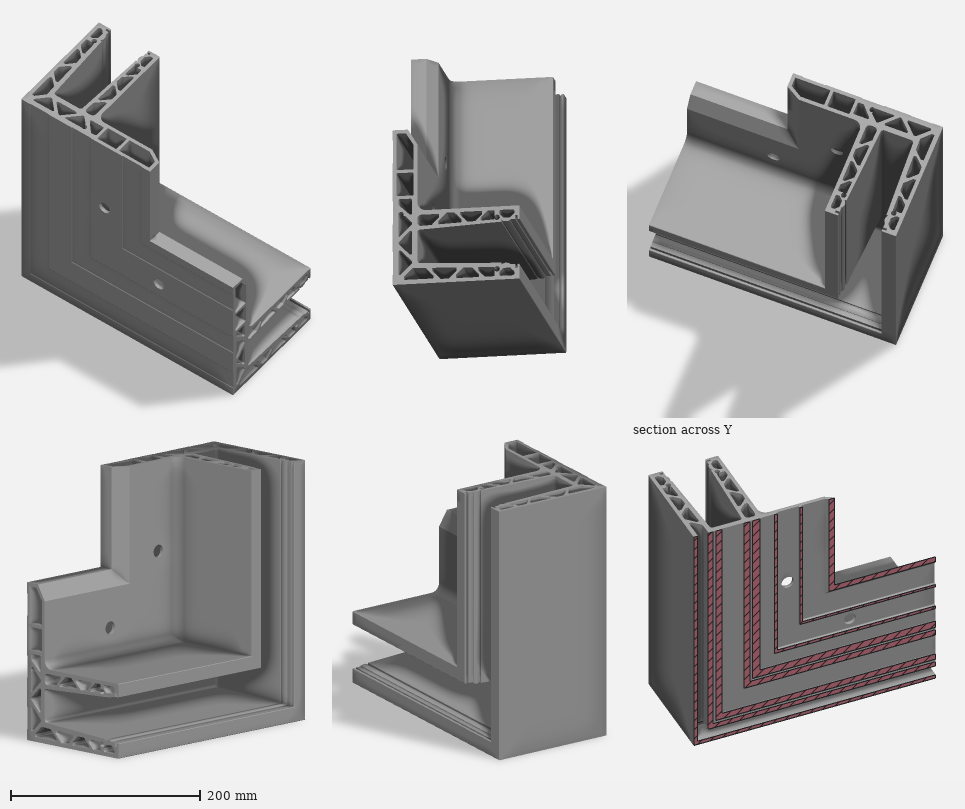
import cadquery as cq


ARM_REACH = 110.0
PROFILE_WIDTH = 170.17
PROFILE_DEPTH = 136.0
ARM_LENGTH = PROFILE_WIDTH + ARM_REACH

CHANNEL_BODY_WIDTH = 80.6
FLANGE_TOP = 26.4
FLANGE_FILLET = 9.6
RIM_CHAMFER = 0.5
LIP_HEIGHT = 16.4
LIP_SLOPE_START = 153.4
SKIN = 4.0

CHANNEL_CENTER = 41.0
CHANNEL_MOUTH_HALF = 24.7
CHANNEL_TOP_HALF = 22.6
CHANNEL_FLOOR_HALF = 18.2
TAPER_TOP = 116.5
CHANNEL_FLOOR_FILLET = 3.2
GASKET_SLOT_HALF = 29.1
GASKET_SLOT_BOTTOM = 131.3
GASKET_SLOT_TOP = 133.7
BEAD_TOP = 125.6
BEAD_BOTTOM = 117.4
BEAD_LEDGE = 0.8
BEAD_HEIGHT = 1.9

BODY_CENTER = CHANNEL_BODY_WIDTH / 2
SIDE_CELL_OUTER_HALF = BODY_CENTER - SKIN
LOWEST_CELL_OUTER_HALF = SIDE_CELL_OUTER_HALF - 0.9
SIDE_CELL_TOP = 109.2
WEB_TOP_HALF = 26.5
WEB_FLOOR_HALF = 23.0
CELL_LAND = 3.3
SIDE_CELL_FILLET = 0.9
TOP_CELL_FILLET = 1.9
CORNER_CELL_FILLET = 4.2
SCREW_PORT_RADIUS = 2.9
SIDE_PORT_HALF = 28.4
SIDE_PORT_Y = 111.9

TRUSS_FILLET = 1.5
TRUSS_BOTTOM = 6.3
TRUSS_TOP = 20.6
BOX_FILLET = 1.2
BOX_TOP = 22.4
FLANGE_PORT_CENTER = (77.0, 8.8)
FIRST_TRIANGLE = (8.5, 39.5)
INVERTED_TRIANGLE = (30.3, 60.7)
PORT_TRIANGLE_LEFT = 51.5
PORT_TRIANGLE_RIGHT = 75.5
PORT_TRIANGLE_APEX_WIDTH = 2.0
PORT_TRIANGLE_FILLET = 0.75
HALF_TRIANGLE_TOP = (74.6, 94.0)
HALF_TRIANGLE_BOTTOM_WIDTH = 6.5

RECESS_WIDTH = 25.6
RECESS_DEPTH = 0.5
RECESS_SIDE_RUN = 0.9
RECESS_STARTS = (11.0, 66.4, 133.4)
HOLE_DIAMETER = 14.0
HOLE_FROM_EDGE = 110.0
HOLE_ALONG_ARM = 182.0


def prism(points):
    """Polygon in the profile plane, extruded over the whole arm."""
    return cq.Workplane("XY").polyline(points).close().extrude(ARM_LENGTH)


def cell_prism(points, fillet):
    return prism(points).edges("|Z").fillet(fillet)


def port(center):
    return cq.Workplane("XY").center(*center).circle(SCREW_PORT_RADIUS).extrude(ARM_LENGTH)


def outer_body():
    """Solid outline: tall channel body with a flange that ends in a sloped lip."""
    body = prism([
        (0, 0),
        (PROFILE_WIDTH, 0),
        (PROFILE_WIDTH, LIP_HEIGHT),
        (LIP_SLOPE_START, FLANGE_TOP),
        (CHANNEL_BODY_WIDTH, FLANGE_TOP),
        (CHANNEL_BODY_WIDTH, PROFILE_DEPTH),
        (0, PROFILE_DEPTH),
    ])
    inner_corner = cq.selectors.NearestToPointSelector((CHANNEL_BODY_WIDTH, FLANGE_TOP, ARM_LENGTH / 2))
    return body.edges(inner_corner).fillet(FLANGE_FILLET)


def channel():
    """Tapered channel with a gasket slot and a rounded bead on each side of its mouth."""
    c = CHANNEL_CENTER
    bead_middle = (BEAD_TOP + BEAD_BOTTOM) / 2
    ledge_half = CHANNEL_MOUTH_HALF - BEAD_LEDGE
    bead_half = CHANNEL_MOUTH_HALF - BEAD_HEIGHT
    mouth = (
        cq.Workplane("XY")
        .moveTo(c - CHANNEL_MOUTH_HALF, PROFILE_DEPTH)
        .lineTo(c - CHANNEL_MOUTH_HALF, BEAD_TOP)
        .lineTo(c - ledge_half, BEAD_TOP)
        .threePointArc((c - bead_half, bead_middle), (c - ledge_half, BEAD_BOTTOM))
        .lineTo(c - CHANNEL_MOUTH_HALF, BEAD_BOTTOM)
        .lineTo(c - CHANNEL_MOUTH_HALF, TAPER_TOP)
        .lineTo(c + CHANNEL_MOUTH_HALF, TAPER_TOP)
        .lineTo(c + CHANNEL_MOUTH_HALF, BEAD_BOTTOM)
        .lineTo(c + ledge_half, BEAD_BOTTOM)
        .threePointArc((c + bead_half, bead_middle), (c + ledge_half, BEAD_TOP))
        .lineTo(c + CHANNEL_MOUTH_HALF, BEAD_TOP)
        .lineTo(c + CHANNEL_MOUTH_HALF, PROFILE_DEPTH)
        .close()
        .extrude(ARM_LENGTH)
    )
    tapered = prism([
        (c - CHANNEL_TOP_HALF, TAPER_TOP),
        (c - CHANNEL_FLOOR_HALF, FLANGE_TOP),
        (c + CHANNEL_FLOOR_HALF, FLANGE_TOP),
        (c + CHANNEL_TOP_HALF, TAPER_TOP),
    ])
    tapered = tapered.faces("<Y").edges("|Z").fillet(CHANNEL_FLOOR_FILLET)
    slot = prism([
        (c - GASKET_SLOT_HALF, GASKET_SLOT_BOTTOM),
        (c + GASKET_SLOT_HALF, GASKET_SLOT_BOTTOM),
        (c + GASKET_SLOT_HALF, GASKET_SLOT_TOP),
        (c - GASKET_SLOT_HALF, GASKET_SLOT_TOP),
    ])
    return mouth.union(tapered).union(slot)


def web_half(y):
    """Half width, at height y, of the tapered web between the side cells and the channel."""
    slope = (WEB_TOP_HALF - WEB_FLOOR_HALF) / (TAPER_TOP - FLANGE_TOP)
    return WEB_FLOOR_HALF + slope * (y - FLANGE_TOP)


def mirrored_points(side, half_points):
    """Points given by half width, placed on one side of the body centre (-1 or +1)."""
    return [(BODY_CENTER + side * half, y) for half, y in half_points]


def flank_height(y, outer_half):
    """Height of a 45 degree flank that crosses the cell from the flat land at its end."""
    return outer_half - web_half(y) - CELL_LAND


def long_outside_cell(side, low, high, outer_half=SIDE_CELL_OUTER_HALF):
    """Side cell with its long wall at the body's skin and a 45 degree flank at both ends."""
    low_corner = low + flank_height(low, outer_half)
    high_corner = high - flank_height(high, outer_half)
    half_points = [
        (outer_half, low),
        (outer_half, high),
        (outer_half - CELL_LAND, high),
        (web_half(high_corner), high_corner),
        (web_half(low_corner), low_corner),
        (outer_half - CELL_LAND, low),
    ]
    return cell_prism(mirrored_points(side, half_points), SIDE_CELL_FILLET)


def long_inside_cell(side, low, high):
    """Side cell with its long wall at the channel and a 45 degree flank at both ends."""
    half_points = [
        (web_half(low), low),
        (web_half(high), high),
        (web_half(high) + CELL_LAND, high),
        (SIDE_CELL_OUTER_HALF, high - flank_height(high, SIDE_CELL_OUTER_HALF)),
        (SIDE_CELL_OUTER_HALF, low + flank_height(low, SIDE_CELL_OUTER_HALF)),
        (web_half(low) + CELL_LAND, low),
    ]
    return cell_prism(mirrored_points(side, half_points), SIDE_CELL_FILLET)


def port_cell(side, low):
    """Side cell below the screw port: square at the top, flanked at the bottom."""
    half_points = [
        (web_half(low), low),
        (web_half(SIDE_CELL_TOP), SIDE_CELL_TOP),
        (SIDE_CELL_OUTER_HALF, SIDE_CELL_TOP),
        (SIDE_CELL_OUTER_HALF, low + flank_height(low, SIDE_CELL_OUTER_HALF)),
        (web_half(low) + CELL_LAND, low),
    ]
    return cell_prism(mirrored_points(side, half_points), SIDE_CELL_FILLET)


def top_cell(side):
    """Cell beside the gasket slot, narrowed to stay clear of the mouth."""
    top = 130.4
    bottom = 114.2
    neck_half = 27.7
    shoulder_half = 32.0
    half_points = [
        (SIDE_CELL_OUTER_HALF, bottom),
        (SIDE_CELL_OUTER_HALF, top),
        (shoulder_half, top),
        (neck_half, top - (shoulder_half - neck_half)),
        (neck_half, bottom + (shoulder_half - neck_half)),
        (shoulder_half, bottom),
    ]
    return cell_prism(mirrored_points(side, half_points), TOP_CELL_FILLET)


def corner_cell():
    """Lowest cell of the flange-side wall: flanked at the top, well rounded at the bottom."""
    top = 49.9
    outer_half = LOWEST_CELL_OUTER_HALF
    flank_end = top - flank_height(top, outer_half)
    half_points = [
        (outer_half, FLANGE_TOP),
        (outer_half, top),
        (outer_half - CELL_LAND, top),
        (web_half(flank_end), flank_end),
        (web_half(FLANGE_TOP), FLANGE_TOP),
    ]
    cell = prism(mirrored_points(1, half_points))
    return cell.edges("|Z and <Y").fillet(CORNER_CELL_FILLET)


def side_cells():
    """Cells and screw ports of both channel walls, separated by 45 degree ribs."""
    cells = []
    for side in (-1, 1):
        cells.append(top_cell(side))
        cells.append(port((BODY_CENTER + side * SIDE_PORT_HALF, SIDE_PORT_Y)))
    cells += [
        port_cell(-1, low=91.3),
        long_outside_cell(-1, low=67.6, high=92.4),
        long_inside_cell(-1, low=42.2, high=68.5),
        long_outside_cell(-1, low=12.0, high=43.7, outer_half=LOWEST_CELL_OUTER_HALF),
        port_cell(1, low=94.4),
        long_outside_cell(1, low=72.2, high=96.0),
        long_inside_cell(1, low=48.7, high=74.0),
        corner_cell(),
    ]
    return cells


def triangle_cell(left, right, base, tip):
    """Truss cell with 45 degree sides rising (or falling) from the base to a flat tip."""
    run = abs(tip - base)
    return cell_prism([(left, base), (right, base), (right - run, tip), (left + run, tip)], TRUSS_FILLET)


def port_triangle_cell():
    """Truss cell cut short on the right, where it opens into the flange screw port."""
    left = PORT_TRIANGLE_LEFT
    right = PORT_TRIANGLE_RIGHT
    apex_left = left + TRUSS_TOP - TRUSS_BOTTOM
    apex_right = apex_left + PORT_TRIANGLE_APEX_WIDTH
    points = [
        (left, TRUSS_BOTTOM),
        (right, TRUSS_BOTTOM),
        (right, TRUSS_TOP - (right - apex_right)),
        (apex_right, TRUSS_TOP),
        (apex_left, TRUSS_TOP),
    ]
    return prism(points).edges("|Z and (not >X)").fillet(PORT_TRIANGLE_FILLET)


def box_cell(points):
    """Cell near the lip with a sharp floor and a rounded top."""
    return prism(points).edges("|Z and >Y").fillet(BOX_FILLET)


def flange_cells():
    """Triangular truss cells under the channel, then two box cells out to the lip."""
    half_left, half_right = HALF_TRIANGLE_TOP
    half_points = [
        (half_left, TRUSS_TOP),
        (half_right, TRUSS_TOP),
        (half_right, TRUSS_BOTTOM),
        (half_right - HALF_TRIANGLE_BOTTOM_WIDTH, TRUSS_BOTTOM),
    ]
    first_left, first_right = 97.5, 122.7
    last_left, last_right = 126.2, PROFILE_WIDTH - SKIN
    slope_top, slope_bottom = 153.0, 14.1
    first_box = [(first_left, SKIN), (first_right, SKIN), (first_right, BOX_TOP), (first_left, BOX_TOP)]
    last_box = [
        (last_left, SKIN),
        (last_right, SKIN),
        (last_right, slope_bottom),
        (slope_top, BOX_TOP),
        (last_left, BOX_TOP),
    ]
    return [
        triangle_cell(*FIRST_TRIANGLE, TRUSS_BOTTOM, TRUSS_TOP),
        triangle_cell(*INVERTED_TRIANGLE, TRUSS_TOP, TRUSS_BOTTOM),
        port_triangle_cell(),
        port(FLANGE_PORT_CENTER),
        cell_prism(half_points, TRUSS_FILLET),
        box_cell(first_box),
        box_cell(last_box),
    ]


def face_recess(start):
    """Shallow groove in the front face with sloped sides."""
    end = start + RECESS_WIDTH
    return prism([
        (start, 0),
        (end, 0),
        (end - RECESS_SIDE_RUN, RECESS_DEPTH),
        (start + RECESS_SIDE_RUN, RECESS_DEPTH),
    ])


def upright_arm():
    """Profile cut to the 45 degree mitre plane x = z, with its mounting hole."""
    arm = outer_body().cut(channel())
    arm = arm.faces(">Y").edges("|Z").chamfer(RIM_CHAMFER)
    for cell in side_cells() + flange_cells():
        arm = arm.cut(cell)
    for start in RECESS_STARTS:
        arm = arm.cut(face_recess(start))
    below_mitre = (
        cq.Workplane("XZ")
        .polyline([(0, 0), (ARM_LENGTH, 0), (ARM_LENGTH, ARM_LENGTH)])
        .close()
        .extrude(-PROFILE_DEPTH)
    )
    hole = (
        cq.Workplane("XZ")
        .center(HOLE_FROM_EDGE, HOLE_ALONG_ARM)
        .circle(HOLE_DIAMETER / 2)
        .extrude(-PROFILE_DEPTH)
    )
    return arm.cut(below_mitre).cut(hole)


upright = upright_arm()
level = upright.mirror(cq.Vector(1, 0, -1))
result = upright.union(level, clean=False)